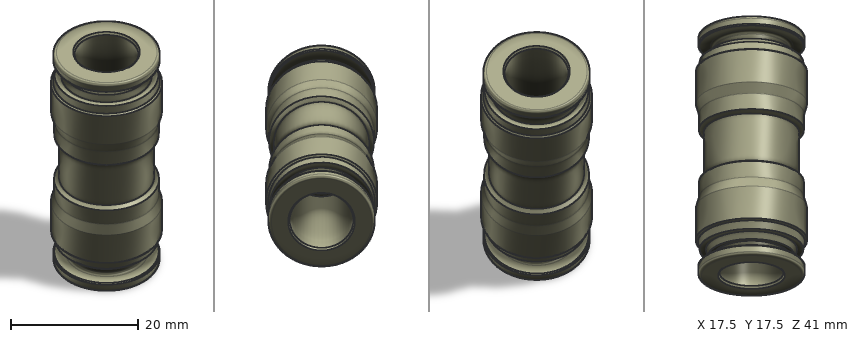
import cadquery as cq

length = 41.0

flange_diameter = 16.8
neck_diameter = 12.0
collar_end_diameter = 13.6
collar_root_diameter = 14.35
ring_end_diameter = 16.3
ring_root_diameter = 16.8
grip_diameter = 17.5
shoulder_diameter = 16.52
waist_diameter = 15.0

flange_thickness = 1.7
collar_depth = 3.32
ring_depth = 4.45
ring_root_depth = 5.8
grip_start_depth = 6.03
grip_end_depth = 11.55
shoulder_start_depth = 13.32
shoulder_end_depth = 16.05
waist_start_depth = 16.5

flange_round = 0.5
flange_chamfer = 0.2
neck_fillet = 0.5

bore_diameter = 9.0
socket_diameter = 10.0
socket_depth = 16.4
mouth_diameter = 10.5
mouth_depth = 0.4

half_length = length / 2


def disc(diameter, start_depth, end_depth):
    """Cylinder in the upper half, between two depths below the top face."""
    return (
        cq.Workplane("XY", origin=(0, 0, half_length - end_depth))
        .circle(diameter / 2)
        .extrude(end_depth - start_depth)
    )


def make_sleeve():
    """Two stepped sockets joined by a plain waist, turned as one outline."""
    profile = [
        (collar_end_diameter, collar_depth),
        (collar_root_diameter, ring_depth),
        (ring_end_diameter, ring_depth),
        (ring_root_diameter, ring_root_depth),
        (grip_diameter, grip_start_depth),
        (grip_diameter, grip_end_depth),
        (shoulder_diameter, shoulder_start_depth),
        (shoulder_diameter, shoulder_end_depth),
        (waist_diameter, waist_start_depth),
    ]
    upper_outline = [(diameter / 2, half_length - depth) for diameter, depth in profile]
    lower_outline = [(radius, -height) for radius, height in reversed(upper_outline)]
    collar_height = half_length - collar_depth
    return (
        cq.Workplane("XZ")
        .moveTo(0, collar_height)
        .polyline(upper_outline + lower_outline, includeCurrent=True)
        .lineTo(0, -collar_height)
        .close()
        .revolve(360, (0, 0, 0), (0, 1, 0))
    )


def make_release_button():
    """Rounded end flange on a neck that enters the sleeve."""
    flange = disc(flange_diameter, 0, flange_thickness)
    flange = flange.faces(">Z").edges().fillet(flange_round)
    flange = flange.faces("<Z").edges().chamfer(flange_chamfer)

    neck_radius = neck_diameter / 2
    flange_underside = half_length - flange_thickness
    neck_bottom = half_length - collar_depth
    neck = (
        cq.Workplane("XZ")
        .moveTo(0, flange_underside)
        .lineTo(neck_radius + neck_fillet, flange_underside)
        .radiusArc((neck_radius, flange_underside - neck_fillet), -neck_fillet)
        .lineTo(neck_radius, neck_bottom)
        .lineTo(0, neck_bottom)
        .close()
        .revolve(360, (0, 0, 0), (0, 1, 0))
    )
    return flange.union(neck)


def make_upper_bore():
    """Through bore widened to a tube socket with a chamfered mouth."""
    bore = disc(bore_diameter, 0, half_length)
    socket = disc(socket_diameter, 0, socket_depth)
    mouth = (
        cq.Workplane("XY", origin=(0, 0, half_length))
        .circle(mouth_diameter / 2)
        .workplane(offset=-mouth_depth)
        .circle(socket_diameter / 2)
        .loft()
    )
    return bore.union(socket).union(mouth)


def with_mirror_copy(upper):
    """Feature of the upper half together with its lower twin."""
    return upper.union(upper.mirror("XY"))


buttons = with_mirror_copy(make_release_button())
bores = with_mirror_copy(make_upper_bore())
result = make_sleeve().union(buttons).cut(bores)